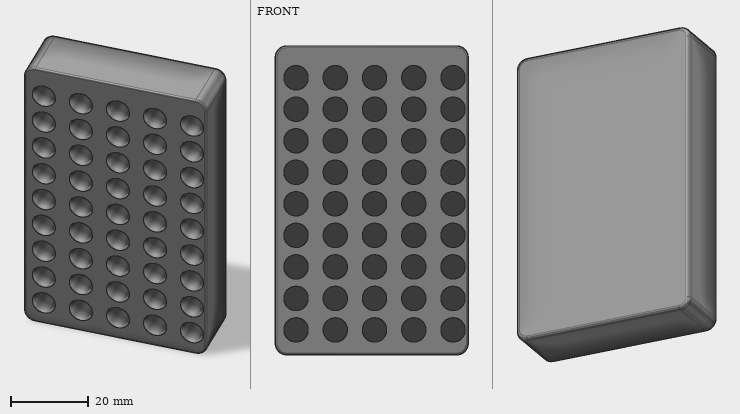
import cadquery as cq

width = 50.0
depth = 16.0
height = 80.0
corner_radius = 3.0
front_edge_radius = 0.5
back_edge_radius = 1.0

hole_diameter = 6.3
hole_depth = 12.0
columns = 5
rows = 9
column_pitch = 10.2
row_pitch = 8.2
grid_center_x = 0.7
grid_center_z = -0.9


def rounded_block():
    """Block centred on the origin, with round corners and softened front and back rims."""
    block = cq.Workplane("XY").box(width, depth, height)
    block = block.edges("|Y").fillet(corner_radius)
    block = block.faces("<Y").edges().fillet(front_edge_radius)
    return block.faces(">Y").edges().fillet(back_edge_radius)


def hole_grid():
    """Cylinders that fill the holes, running inward from the front face."""
    return (
        cq.Workplane("XZ", origin=(grid_center_x, -depth / 2, grid_center_z))
        .rarray(column_pitch, row_pitch, columns, rows)
        .circle(hole_diameter / 2)
        .extrude(-hole_depth)
    )


result = rounded_block().cut(hole_grid())